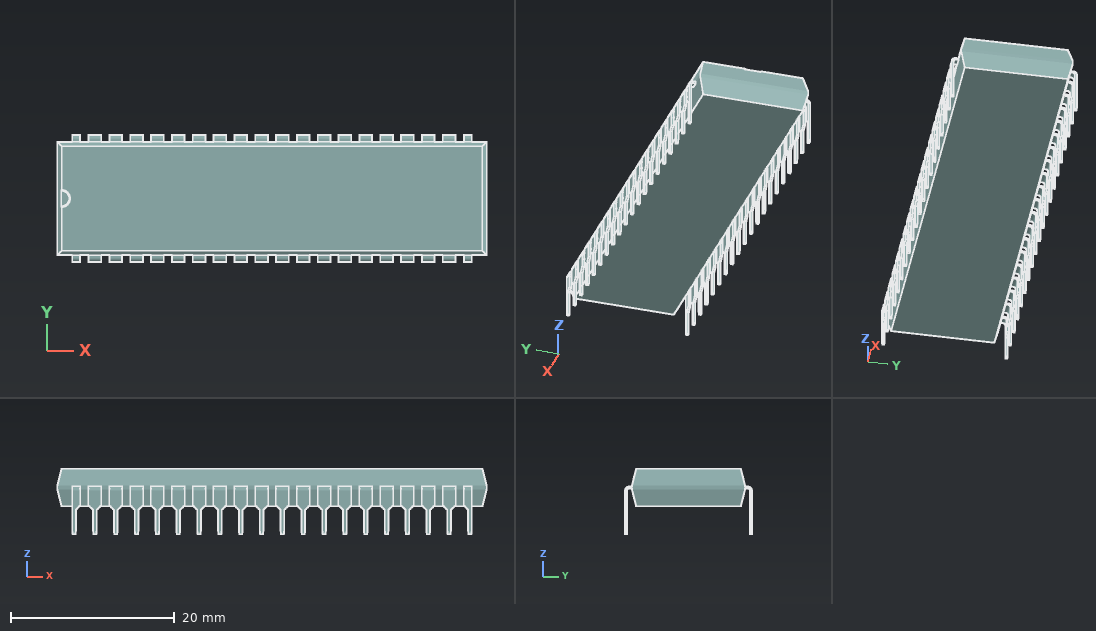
import cadquery as cq
import math


body_length = 52.4
body_width = 13.85
body_height = 4.6
band_height = 0.45
side_inset = 0.5
slope_height = (body_height - band_height) / 2

notch_radius = 1.05
notch_floor_radius = 0.95
notch_depth = 0.1

leads_per_side = 20
lead_pitch = 2.54
lead_span = 15.5
lead_thickness = 0.25
bend_radius = 0.5
shoulder_width = 1.55
end_shoulder_reach = 0.75
blade_width = 0.45
shoulder_taper_height = 0.5
shoulder_rise = 0.1
tip_height = 0.4
tip_chamfer = 0.05
lead_embed = 0.25

overall_height = 8.0
body_top = body_height / 2
body_bottom = -body_height / 2
lead_top = lead_thickness / 2
lead_bottom = body_top - overall_height
shoulder_bottom = body_bottom + shoulder_rise
lead_outside = lead_span / 2
lead_inside = lead_outside - lead_thickness
tip_top = lead_bottom + tip_height


def make_body():
    """Rectangular band with a tapered block above and below it."""
    taper = math.degrees(math.atan(side_inset / slope_height))
    band = cq.Workplane("XY").box(body_length, body_width, band_height)
    upper = (
        cq.Workplane("XY")
        .workplane(offset=band_height / 2)
        .rect(body_length, body_width)
        .extrude(slope_height, taper=taper)
    )
    lower = upper.mirror("XY")
    return band.union(upper).union(lower)


def make_notch():
    """Shallow dish with a sloped wall, centred on the -X edge of the top face."""
    return (
        cq.Workplane("XY")
        .workplane(offset=body_top - notch_depth)
        .center(-body_length / 2 + side_inset, 0)
        .circle(notch_floor_radius)
        .workplane(offset=notch_depth)
        .circle(notch_radius)
        .loft()
    )


def lead_side_profile():
    """Bent strip in the YZ plane for the +Y row, extruded over the shoulder width."""
    root = body_width / 2 - lead_embed
    inner_radius = bend_radius - lead_thickness
    bend_y = lead_outside - bend_radius
    bend_z = lead_top - bend_radius
    diagonal = math.sqrt(0.5)
    return (
        cq.Workplane("YZ")
        .moveTo(root, lead_top)
        .lineTo(bend_y, lead_top)
        .threePointArc(
            (bend_y + bend_radius * diagonal, bend_z + bend_radius * diagonal),
            (lead_outside, bend_z),
        )
        .lineTo(lead_outside, lead_bottom)
        .lineTo(lead_inside, lead_bottom)
        .lineTo(lead_inside, bend_z)
        .threePointArc(
            (bend_y + inner_radius * diagonal, bend_z + inner_radius * diagonal),
            (bend_y, -lead_top),
        )
        .lineTo(root, -lead_top)
        .close()
        .extrude(shoulder_width / 2, both=True)
    )


def lead_front_profile(left_reach, right_reach):
    """Lead outline in the XZ plane; each reach is the shoulder's distance from the lead axis."""
    half_blade = blade_width / 2
    half_tip = half_blade - tip_chamfer
    blade_top = shoulder_bottom - shoulder_taper_height
    points = [
        (-left_reach, lead_top),
        (right_reach, lead_top),
        (right_reach, shoulder_bottom),
        (half_blade, blade_top),
        (half_blade, tip_top),
        (half_tip, lead_bottom),
        (-half_tip, lead_bottom),
        (-half_blade, tip_top),
        (-half_blade, blade_top),
        (-left_reach, shoulder_bottom),
    ]
    return cq.Workplane("XZ").polyline(points).close().extrude(lead_span, both=True)


def make_lead(left_reach, right_reach):
    return lead_side_profile().intersect(lead_front_profile(left_reach, right_reach))


def make_leads():
    """Two mirrored rows; the end leads have no shoulder on their outer side."""
    half_shoulder = shoulder_width / 2
    half_blade = blade_width / 2
    full_lead = make_lead(half_shoulder, half_shoulder)
    first_lead = make_lead(half_blade, end_shoulder_reach)
    last_lead = make_lead(end_shoulder_reach, half_blade)
    middle_leads = [full_lead] * (leads_per_side - 2)

    leads = []
    for index, lead in enumerate([first_lead] + middle_leads + [last_lead]):
        x = (index - (leads_per_side - 1) / 2) * lead_pitch
        placed = lead.translate((x, 0, 0))
        leads.append(placed)
        leads.append(placed.mirror("XZ"))
    return leads


result = make_body().cut(make_notch())
for lead in make_leads():
    result = result.union(lead)